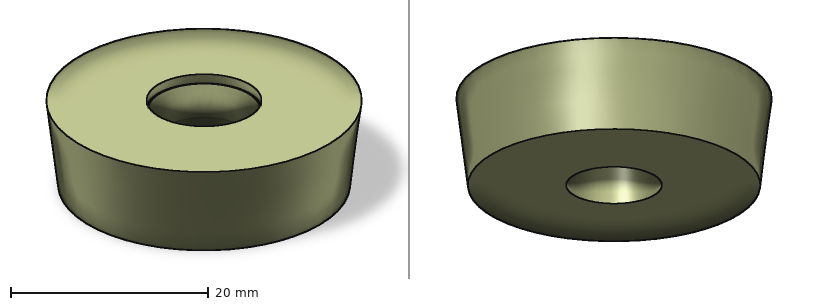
import cadquery as cq
import math

top_diameter = 31.98
thickness = 9.53
relief_angle = 7.0

bore_diameter = 9.7
mouth_diameter = 11.65
mouth_depth = 1.02
lip_width = 0.13
seat_depth = 3.4

top_radius = top_diameter / 2
bottom_radius = top_radius - thickness * math.tan(math.radians(relief_angle))
bore_radius = bore_diameter / 2
mouth_radius = mouth_diameter / 2
seat_radius = mouth_radius - lip_width
seat_top = thickness - mouth_depth
seat_bottom = seat_top - seat_depth

seat_width = seat_radius - bore_radius
arc_radius = (seat_width**2 + seat_depth**2) / (2 * seat_width)
half_angle = math.asin(seat_depth / arc_radius) / 2
seat_middle = (
    bore_radius + arc_radius * (1 - math.cos(half_angle)),
    seat_bottom + arc_radius * math.sin(half_angle),
)

section = (
    cq.Workplane("XZ")
    .moveTo(bore_radius, 0)
    .lineTo(bottom_radius, 0)
    .lineTo(top_radius, thickness)
    .lineTo(mouth_radius, thickness)
    .lineTo(mouth_radius, seat_top)
    .lineTo(seat_radius, seat_top)
    .threePointArc(seat_middle, (bore_radius, seat_bottom))
    .close()
)

result = section.revolve(360, (0, 0, 0), (0, 1, 0))